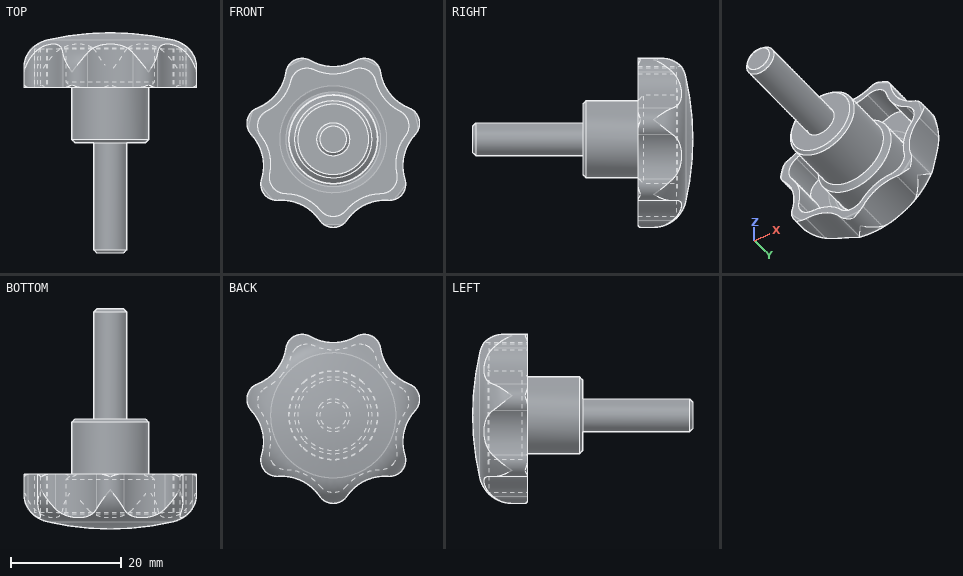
import math

import cadquery as cq


LOBE_COUNT = 7
HEAD_HEIGHT = 10.0
DOME_RADIUS = 50.0
SHOULDER_RADIUS = 6.0
RIM_FILLET = 0.5
LOBE_CENTER_RADIUS = 13.0
LOBE_ARC_RADIUS = 3.0
BLANK_RADIUS = LOBE_CENTER_RADIUS + LOBE_ARC_RADIUS
FLUTE_ARC_RADIUS = 8.3

POCKET_LOBE_CENTER_RADIUS = 11.0
POCKET_DEPTH = 7.0
RECESS_RADIUS = 9.7
RECESS_SLOPE = 10.5
RECESS_FILLET = 0.5

HUB_RADIUS = 7.0
HUB_LENGTH = 10.0
HUB_CHAMFER = 0.6
COLLAR_RADIUS = 8.0
COLLAR_CHAMFER = COLLAR_RADIUS - HUB_RADIUS
COLLAR_TOP = POCKET_DEPTH + (RECESS_RADIUS - COLLAR_RADIUS) * math.tan(math.radians(RECESS_SLOPE))
STUD_RADIUS = 3.0
STUD_LENGTH = 20.0
STUD_CHAMFER = 0.6

LOBE_PITCH = 360.0 / LOBE_COUNT
HALF_PITCH = math.radians(LOBE_PITCH / 2)
FIRST_LOBE_ANGLE = -90.0


def head_plane():
    """Sketch plane of the rim; local x is X, local y is Z, and the normal points to -Y."""
    return cq.Workplane("XZ")


def polar(radius, degrees):
    angle = math.radians(degrees)
    return (radius * math.cos(angle), radius * math.sin(angle))


def between(start, end, distance):
    """Point at the given distance from start on the way to end."""
    share = distance / math.dist(start, end)
    return tuple(a + share * (b - a) for a, b in zip(start, end))


def star_prism(lobe_center_radius, height):
    """Prism from y = 0 to y = height whose outline alternates tangent lobe and flute arcs."""
    flute_center_radius = lobe_center_radius * math.cos(HALF_PITCH) + math.sqrt(
        (LOBE_ARC_RADIUS + FLUTE_ARC_RADIUS) ** 2 - (lobe_center_radius * math.sin(HALF_PITCH)) ** 2
    )
    tip_radius = lobe_center_radius + LOBE_ARC_RADIUS
    root_radius = flute_center_radius - FLUTE_ARC_RADIUS

    def touch_point(lobe_angle, flute_angle):
        lobe_center = polar(lobe_center_radius, lobe_angle)
        flute_center = polar(flute_center_radius, flute_angle)
        return between(lobe_center, flute_center, LOBE_ARC_RADIUS)

    first_flute_angle = FIRST_LOBE_ANGLE - LOBE_PITCH / 2
    outline = head_plane().moveTo(*touch_point(FIRST_LOBE_ANGLE, first_flute_angle))
    for index in range(LOBE_COUNT):
        lobe_angle = FIRST_LOBE_ANGLE + index * LOBE_PITCH
        flute_angle = lobe_angle + LOBE_PITCH / 2
        lobe_end = touch_point(lobe_angle, flute_angle)
        flute_end = touch_point(lobe_angle + LOBE_PITCH, flute_angle)
        outline = outline.threePointArc(polar(tip_radius, lobe_angle), lobe_end)
        outline = outline.threePointArc(polar(root_radius, flute_angle), flute_end)
    return outline.close().extrude(-height)


def head_blank():
    """Turned mushroom: spherical dome, round shoulder, short cylinder and rounded rim."""
    dome_center_y = HEAD_HEIGHT - DOME_RADIUS
    shoulder_center_x = BLANK_RADIUS - SHOULDER_RADIUS
    dome_angle = math.asin(shoulder_center_x / (DOME_RADIUS - SHOULDER_RADIUS))
    shoulder_center_y = dome_center_y + (DOME_RADIUS - SHOULDER_RADIUS) * math.cos(dome_angle)

    def dome_point(angle):
        return (DOME_RADIUS * math.sin(angle), dome_center_y + DOME_RADIUS * math.cos(angle))

    shoulder_mid_angle = (dome_angle + math.pi / 2) / 2
    shoulder_mid = (
        shoulder_center_x + SHOULDER_RADIUS * math.sin(shoulder_mid_angle),
        shoulder_center_y + SHOULDER_RADIUS * math.cos(shoulder_mid_angle),
    )
    rim_setback = RIM_FILLET * (1 - math.sqrt(0.5))
    profile = (
        cq.Workplane("XY")
        .lineTo(BLANK_RADIUS - RIM_FILLET, 0)
        .threePointArc((BLANK_RADIUS - rim_setback, rim_setback), (BLANK_RADIUS, RIM_FILLET))
        .lineTo(BLANK_RADIUS, shoulder_center_y)
        .threePointArc(shoulder_mid, dome_point(dome_angle))
        .threePointArc(dome_point(dome_angle / 2), dome_point(0))
        .close()
    )
    return profile.revolve(360, (0, 0), (0, 1))


def pocket():
    """Hollow under the head, with a shallow conical recess sunk into its floor round the collar."""
    hollow = star_prism(POCKET_LOBE_CENTER_RADIUS, POCKET_DEPTH)
    recess = (
        cq.Workplane("XY")
        .moveTo(COLLAR_RADIUS, 0)
        .lineTo(RECESS_RADIUS, 0)
        .lineTo(RECESS_RADIUS, POCKET_DEPTH)
        .lineTo(COLLAR_RADIUS, COLLAR_TOP)
        .close()
        .revolve(360, (0, 0), (0, 1))
    )
    recess = recess.edges(">Y").fillet(RECESS_FILLET)
    return hollow.union(recess)


def hub_and_stud():
    """Collar standing in the pocket, stepping through a cone to the hub, then the stud."""
    stud_end = -HUB_LENGTH - STUD_LENGTH
    profile = (
        cq.Workplane("XY")
        .moveTo(0, COLLAR_TOP)
        .lineTo(COLLAR_RADIUS, COLLAR_TOP)
        .lineTo(COLLAR_RADIUS, COLLAR_CHAMFER)
        .lineTo(HUB_RADIUS, 0)
        .lineTo(HUB_RADIUS, HUB_CHAMFER - HUB_LENGTH)
        .lineTo(HUB_RADIUS - HUB_CHAMFER, -HUB_LENGTH)
        .lineTo(STUD_RADIUS, -HUB_LENGTH)
        .lineTo(STUD_RADIUS, stud_end + STUD_CHAMFER)
        .lineTo(STUD_RADIUS - STUD_CHAMFER, stud_end)
        .lineTo(0, stud_end)
        .close()
    )
    return profile.revolve(360, (0, 0), (0, 1))


head = head_blank().intersect(star_prism(LOBE_CENTER_RADIUS, HEAD_HEIGHT))
head = head.cut(pocket())
result = head.union(hub_and_stud())